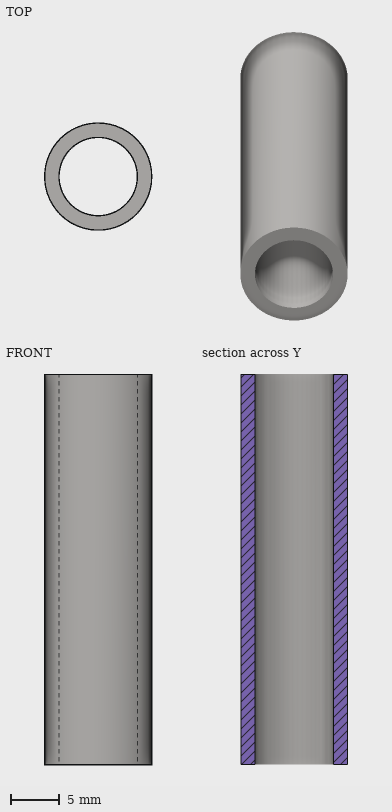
import cadquery as cq

outer_diameter = 11.0
bore_diameter = 8.0
length = 40.0


def make_tube():
    """Plain round tube standing on the XY plane, with its axis along Z."""
    return (
        cq.Workplane("XY")
        .circle(outer_diameter / 2)
        .circle(bore_diameter / 2)
        .extrude(length)
    )


result = make_tube()